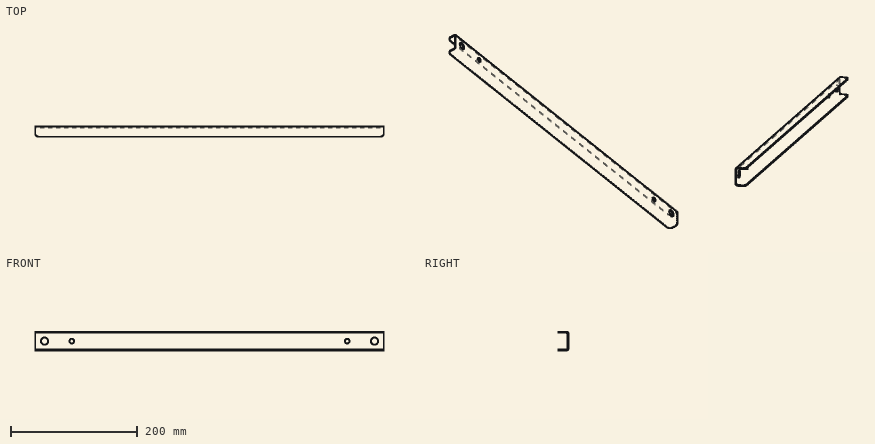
import cadquery as cq

LENGTH = 550.0
DEPTH = 16.5
HEIGHT = 30.0

THICKNESS = 2.0
INNER_BEND_RADIUS = 2.0
OUTER_BEND_RADIUS = INNER_BEND_RADIUS + THICKNESS

CORNER_RADIUS = 6.0

MOUNTING_HOLE_DIAMETER = 11.0
MOUNTING_HOLE_SPACING = 520.0
PILOT_HOLE_DIAMETER = 7.0
PILOT_HOLE_SPACING = 434.0

WEB_OUTER_Y = DEPTH / 2


def make_channel():
    """U-shaped channel along X, with its web on the +Y side and its flanges pointing to -Y."""
    outer = cq.Workplane("XY").box(LENGTH, DEPTH, HEIGHT)
    outer = outer.edges("|X and >Y").fillet(OUTER_BEND_RADIUS)
    inner = (
        cq.Workplane("XY")
        .box(LENGTH, DEPTH, HEIGHT - 2 * THICKNESS)
        .translate((0, -THICKNESS, 0))
        .edges("|X and >Y")
        .fillet(INNER_BEND_RADIUS)
    )
    return outer.cut(inner)


def round_flange_corners(channel):
    """Round the four free corners where the flange edges meet the channel ends."""
    return channel.faces("<Y").edges("|Z").fillet(CORNER_RADIUS)


def cut_web_holes(channel, diameter, spacing):
    """Drill a symmetric pair of round holes through the web."""
    drills = (
        cq.Workplane("XZ", origin=(0, WEB_OUTER_Y, 0))
        .pushPoints([(-spacing / 2, 0), (spacing / 2, 0)])
        .circle(diameter / 2)
        .extrude(THICKNESS)
    )
    return channel.cut(drills)


channel = round_flange_corners(make_channel())
channel = cut_web_holes(channel, MOUNTING_HOLE_DIAMETER, MOUNTING_HOLE_SPACING)
result = cut_web_holes(channel, PILOT_HOLE_DIAMETER, PILOT_HOLE_SPACING)